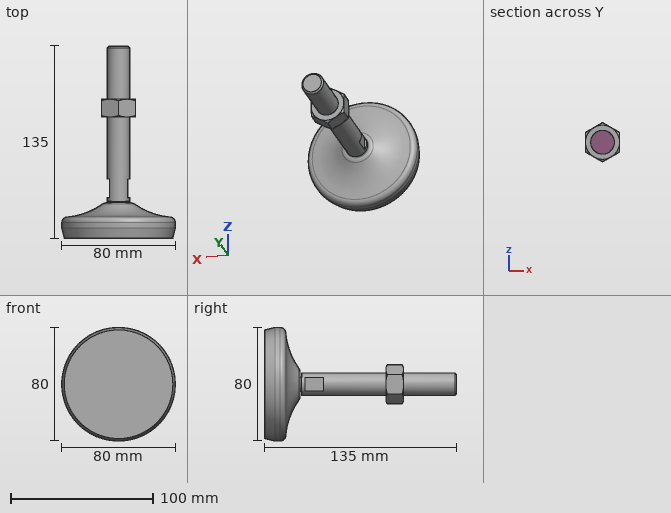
import cadquery as cq
import math

total_length = 135.0

foot_diameter = 80.0
floor_diameter = 76.4
skirt_height = 7.3
rim_top = 11.0
rim_fillet = 4.0
shoulder_height = rim_top + rim_fillet
crown_edge_radius = 11.5
crown_height = 1.0
flank_radius = 50.0
foot_height = 25.0

neck_diameter = 10.0
neck_length = 1.0

stem_diameter = 16.0
stem_bottom = foot_height + neck_length
stem_chamfer = 1.25

flats_across = 13.0
flats_length = 13.0
collar_length = 2.5
flats_bottom = stem_bottom + collar_length

nut_across_flats = 24.0
nut_height = 12.5
nut_bottom = 85.25
nut_chamfer_angle = 30.0


def cylinder_along_y(diameter, start, length):
    """Round bar about the Y axis, running from Y = start towards +Y."""
    return cq.Workplane("XZ", origin=(0, start, 0)).circle(diameter / 2).extrude(-length)


def make_foot():
    """Solid foot: tapered skirt, rounded rim and a concave flank up to the rounded crown."""
    foot_radius = foot_diameter / 2
    shoulder_radius = foot_radius - rim_fillet
    crown_edge_height = foot_height - crown_height
    diagonal = math.sqrt(0.5)
    rim_mid = (
        shoulder_radius + rim_fillet * diagonal,
        rim_top + rim_fillet * diagonal,
    )

    run = shoulder_radius - crown_edge_radius
    rise = crown_edge_height - shoulder_height
    chord = math.hypot(run, rise)
    half_sweep = math.asin(chord / 2 / flank_radius)
    sag = flank_radius * (1 - math.cos(half_sweep))
    flank_mid = (
        (shoulder_radius + crown_edge_radius) / 2 - sag * rise / chord,
        (shoulder_height + crown_edge_height) / 2 - sag * run / chord,
    )

    crown_slope = math.atan2(rise, run) + half_sweep
    crown_radius = crown_height / (1 - math.cos(crown_slope))
    top_face_radius = crown_edge_radius - crown_radius * math.sin(crown_slope)
    crown_mid = (
        top_face_radius + crown_radius * math.sin(crown_slope / 2),
        foot_height - crown_radius * (1 - math.cos(crown_slope / 2)),
    )

    profile = (
        cq.Workplane("XY")
        .moveTo(0, 0)
        .lineTo(floor_diameter / 2, 0)
        .lineTo(foot_radius, skirt_height)
        .lineTo(foot_radius, rim_top)
        .threePointArc(rim_mid, (shoulder_radius, shoulder_height))
        .threePointArc(flank_mid, (crown_edge_radius, crown_edge_height))
        .threePointArc(crown_mid, (top_face_radius, foot_height))
        .lineTo(0, foot_height)
        .close()
    )
    return profile.revolve(360, (0, 0, 0), (0, 1, 0))


def make_stem():
    """Stem with a chamfered free end and two opposite wrench flats facing +X and -X."""
    stem = cylinder_along_y(stem_diameter, stem_bottom, total_length - stem_bottom)
    stem = stem.faces(">Y").chamfer(stem_chamfer)
    flat_depth = (stem_diameter - flats_across) / 2
    for side in (-1, 1):
        cutter = cq.Workplane("XY").box(flat_depth, flats_length, stem_diameter)
        offset_x = side * (flats_across + flat_depth) / 2
        stem = stem.cut(cutter.translate((offset_x, flats_bottom + flats_length / 2, 0)))
    return stem


def make_nut():
    """Hexagon nut with flats facing +X and -X and both ends turned to a cone."""
    flat_radius = nut_across_flats / 2
    corner_radius = flat_radius / math.cos(math.pi / 6)
    hexagon = (
        cq.Workplane("XZ", origin=(0, nut_bottom, 0))
        .transformed(rotate=(0, 0, 90))
        .polygon(6, 2 * corner_radius)
        .extrude(-nut_height)
    )
    chamfer_height = (corner_radius - flat_radius) * math.tan(math.radians(nut_chamfer_angle))
    nut_top = nut_bottom + nut_height
    envelope = (
        cq.Workplane("XY")
        .moveTo(0, nut_bottom)
        .lineTo(flat_radius, nut_bottom)
        .lineTo(corner_radius, nut_bottom + chamfer_height)
        .lineTo(corner_radius, nut_top - chamfer_height)
        .lineTo(flat_radius, nut_top)
        .lineTo(0, nut_top)
        .close()
        .revolve(360, (0, 0, 0), (0, 1, 0))
    )
    return hexagon.intersect(envelope)


neck = cylinder_along_y(neck_diameter, foot_height, neck_length)

result = make_foot().union(neck).union(make_stem()).union(make_nut())